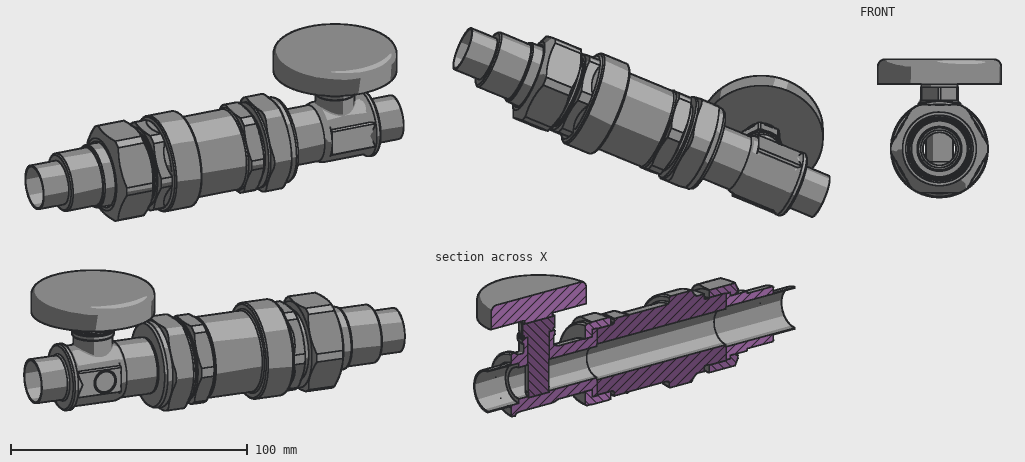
import cadquery as cq
import math


LENGTH = 167.7
PIPE_DIA = 19.0
PIPE_BORE = 17.8
THREAD_DIA = 30.0
NUT_FLATS = 37.2
FLANGE_THICKNESS = 2.5
EDGE_BREAK = 0.7

TAIL_TUBE_START = 11.5
TAIL_RING_START = 26.0
INLET_NUT_START = 31.0
INLET_NUT_END = 47.0
INLET_LIP = 4.2
HOUSING_HEX_START = 49.5
COLLAR_START = 53.7
COLLAR_END = 68.8
REAR_HEX_START = 91.5
REAR_HEX_END = 99.0
OUTLET_NUT_START = 100.6
OUTLET_NUT_END = 114.7
OUTLET_LIP = 4.0
VALVE_TUBE_START = 115.5
VALVE_BODY_START = 130.6
FLARE_START = 150.5
VALVE_RIM_START = 153.0
VALVE_RIM_END = 155.1
OUTLET_STEP_END = 156.0

INLET_FLANGE_START = INLET_NUT_START + INLET_LIP
INLET_JOINT = INLET_FLANGE_START + FLANGE_THICKNESS
OUTLET_FLANGE_END = OUTLET_NUT_END - OUTLET_LIP
OUTLET_JOINT = OUTLET_FLANGE_END - FLANGE_THICKNESS

TAIL_TUBE_DIA = 25.0
TAIL_RING_DIA = 27.0

INLET_NUT_CORNERS = 41.1
INLET_NOSE_DIA = 31.2
INLET_NOSE_LENGTH = 2.5
INLET_MOUTH_DIA = 28.5
INLET_MOUTH_DEPTH = 1.7
NUT_FACE_DIA = 36.9
INLET_CORNER_CHAMFER = 1.3

BARREL_DIA = 34.7
HOUSING_FLATS = 34.9
HOUSING_CORNERS = 38.0
HEX_CHAMFER = 0.8
THREAD_FLARE = 0.5
COLLAR_DIA = 41.3
COLLAR_CONE_DIA = 40.2
COLLAR_CONE_LENGTH = 2.3
COLLAR_KINK_DIA = 37.9
COLLAR_KINK = 1.7
COLLAR_ROUND = 0.7
HOUSING_BORE = 16.0

OUTLET_CORNER_RADIUS = 6.7
OUTLET_FRONT_RING = 1.0
OUTLET_BACK_RING = 3.5
OUTLET_BACK_TAPER = 1.2
OUTLET_CORNER_CHAMFER = 1.2

VALVE_TUBE_DIA = 24.1
VALVE_SPIGOT_DIA = 23.5
VALVE_BODY_DIA = 26.0
VALVE_NOSE_DIA = 25.2
VALVE_NOSE_TAPER = 1.5
VALVE_NOSE_FLARE = 1.0
VALVE_RIM_DIA = 28.5
VALVE_STEP_DIA = 20.1
VALVE_BORE = 14.0
PIPE_SOCKET_DEPTH = 16.8
PAD_START = 132.7
PAD_HALF_WIDTH = 5.4
PAD_KNEE_HALF_WIDTH = 5.9
PAD_KNEE = 11.7
PAD_ROOT_HALF_WIDTH = 7.0
PAD_ROOT = 10.9
PAD_RING_OUTER = 10.0
PAD_RING_INNER = 9.0
PAD_RING_DEPTH = 0.2

GAUGE_Y = 140.0
NECK_DIA = 16.8
NECK_FILLET = 0.7
NECK_FLARE_Z = 17.0
NECK_TOP = 19.6
NECK_RIM_DIA = 18.0
NECK_RIM_CHAMFER = 0.5
POCKET_HEX_FLATS = 16.0
POCKET_HEX_CORNERS = 17.8
POCKET_HEX_TOP = 26.0
POCKET_SEAT_DIA = 16.1
POCKET_HEX_START = 20.5
PROBE_DIA = 11.5
PROBE_TIP_DIA = 11.2
PROBE_STEP_Z = -5.4
PROBE_BOTTOM = -7.5
GAUGE_COLLAR_DIA = 15.5
GAUGE_DIA = 52.3
GAUGE_BOTTOM = 27.3
GAUGE_TOP = 37.9
GAUGE_ROUND = 3.2


def turned(stations):
    """Solid of revolution about Y from (diameter, y) stations."""
    outline = [(0, stations[0][1])]
    outline += [(diameter / 2, y) for diameter, y in stations]
    outline.append((0, stations[-1][1]))
    return cq.Workplane("XY").polyline(outline).close().revolve(360, (0, 0), (0, 1))


def rod(diameter, start, end):
    """Cylinder on the Y axis between two stations."""
    return turned([(diameter, start), (diameter, end)])


def post(diameter, bottom, top):
    """Upright cylinder on the thermometer axis between two heights."""
    plane = cq.Workplane("XY", origin=(0, GAUGE_Y, bottom))
    return plane.circle(diameter / 2).extrude(top - bottom)


def across_corners(flats):
    """Width of a sharp hexagon over its corners."""
    return flats / math.cos(math.pi / 6)


def hex_bar(flats, start, end):
    """Hexagonal bar along Y with two flats facing up and down."""
    plane = cq.Workplane("XZ", origin=(0, start, 0))
    return plane.polygon(6, across_corners(flats)).extrude(start - end)


def make_tail():
    """Pipe stub and stepped tube with the flange held in the inlet nut."""
    outer = turned([
        (PIPE_DIA, 0),
        (PIPE_DIA, TAIL_TUBE_START),
        (TAIL_TUBE_DIA - 2 * EDGE_BREAK, TAIL_TUBE_START),
        (TAIL_TUBE_DIA, TAIL_TUBE_START + EDGE_BREAK),
        (TAIL_TUBE_DIA, TAIL_RING_START),
        (TAIL_RING_DIA - EDGE_BREAK, TAIL_RING_START),
        (TAIL_RING_DIA, TAIL_RING_START + EDGE_BREAK),
        (TAIL_RING_DIA, INLET_FLANGE_START),
        (THREAD_DIA, INLET_FLANGE_START),
        (THREAD_DIA, INLET_JOINT),
    ])
    return outer.cut(rod(PIPE_BORE, 0, INLET_JOINT))


def make_inlet_nut():
    """Union nut with turned corners and a conical nose."""
    envelope = turned([
        (INLET_NOSE_DIA, INLET_NUT_START),
        (INLET_NUT_CORNERS, INLET_NUT_START + INLET_NOSE_LENGTH),
        (INLET_NUT_CORNERS, INLET_NUT_END - INLET_CORNER_CHAMFER),
        (NUT_FACE_DIA, INLET_NUT_END),
    ])
    opening = turned([
        (INLET_MOUTH_DIA, INLET_NUT_START),
        (TAIL_RING_DIA, INLET_NUT_START + INLET_MOUTH_DEPTH),
        (TAIL_RING_DIA, INLET_FLANGE_START),
        (THREAD_DIA, INLET_FLANGE_START),
        (THREAD_DIA, INLET_NUT_END),
    ])
    blank = hex_bar(NUT_FLATS, INLET_NUT_START, INLET_NUT_END)
    return blank.intersect(envelope).cut(opening)


def make_housing():
    """Barrel with two hexagons, a round collar and a male end on each side."""
    chamfered_dia = HOUSING_FLATS - HEX_CHAMFER
    front_hex = hex_bar(HOUSING_FLATS, HOUSING_HEX_START, COLLAR_END).intersect(turned([
        (chamfered_dia, HOUSING_HEX_START),
        (HOUSING_CORNERS, HOUSING_HEX_START + HEX_CHAMFER),
        (HOUSING_CORNERS, COLLAR_END),
    ]))
    rear_hex = hex_bar(HOUSING_FLATS, REAR_HEX_START, REAR_HEX_END).intersect(turned([
        (chamfered_dia, REAR_HEX_START),
        (HOUSING_CORNERS, REAR_HEX_START + HEX_CHAMFER),
        (HOUSING_CORNERS, REAR_HEX_END - HEX_CHAMFER),
        (chamfered_dia, REAR_HEX_END),
    ]))
    cone_end = COLLAR_START + COLLAR_CONE_LENGTH
    collar = turned([
        (HOUSING_FLATS, COLLAR_START),
        (COLLAR_KINK_DIA, COLLAR_START + COLLAR_KINK),
        (COLLAR_CONE_DIA, cone_end),
        (COLLAR_DIA, cone_end + COLLAR_ROUND),
        (COLLAR_DIA, COLLAR_END - COLLAR_ROUND),
        (COLLAR_DIA - 2 * COLLAR_ROUND, COLLAR_END),
        (BARREL_DIA + 2 * COLLAR_ROUND, COLLAR_END),
        (BARREL_DIA, COLLAR_END + COLLAR_ROUND),
    ])
    barrel = turned([
        (BARREL_DIA, COLLAR_END),
        (BARREL_DIA, REAR_HEX_START - HEX_CHAMFER),
        (BARREL_DIA + HEX_CHAMFER, REAR_HEX_START),
        (THREAD_DIA, REAR_HEX_START),
    ])
    threads = turned([
        (THREAD_DIA, INLET_JOINT),
        (THREAD_DIA, HOUSING_HEX_START - THREAD_FLARE),
        (THREAD_DIA + 2 * THREAD_FLARE, HOUSING_HEX_START),
        (THREAD_DIA + 2 * THREAD_FLARE, REAR_HEX_END),
        (THREAD_DIA, REAR_HEX_END + THREAD_FLARE),
        (THREAD_DIA, OUTLET_JOINT),
    ])
    body = threads.union(front_hex).union(collar).union(barrel).union(rear_hex)
    return body.cut(rod(HOUSING_BORE, INLET_JOINT, OUTLET_JOINT))


def make_outlet_nut():
    """Union nut with rounded corners between two plain rings."""
    hex_start = OUTLET_NUT_START + OUTLET_FRONT_RING
    hex_end = OUTLET_NUT_END - OUTLET_BACK_RING
    corner_dia = across_corners(NUT_FLATS)
    blank = hex_bar(NUT_FLATS, OUTLET_NUT_START, OUTLET_NUT_END)
    blank = blank.edges("|Y").fillet(OUTLET_CORNER_RADIUS)
    envelope = turned([
        (NUT_FACE_DIA, OUTLET_NUT_START),
        (NUT_FACE_DIA, hex_start),
        (corner_dia, hex_start + OUTLET_CORNER_CHAMFER),
        (corner_dia, hex_end - OUTLET_CORNER_CHAMFER),
        (NUT_FACE_DIA, hex_end),
        (NUT_FACE_DIA, OUTLET_NUT_END - OUTLET_BACK_TAPER),
        (NUT_FACE_DIA - 2 * EDGE_BREAK, OUTLET_NUT_END),
    ])
    opening = turned([
        (THREAD_DIA, OUTLET_NUT_START),
        (THREAD_DIA, OUTLET_FLANGE_END),
        (VALVE_SPIGOT_DIA, OUTLET_FLANGE_END),
        (VALVE_SPIGOT_DIA, OUTLET_NUT_END),
    ])
    return blank.intersect(envelope).cut(opening)


def valve_shell():
    """Turned outside of the valve with its flared rear rim."""
    body_radius = VALVE_BODY_DIA / 2
    rim_radius = VALVE_RIM_DIA / 2
    return (
        cq.Workplane("XY")
        .moveTo(0, OUTLET_JOINT)
        .lineTo(THREAD_DIA / 2, OUTLET_JOINT)
        .lineTo(THREAD_DIA / 2, OUTLET_FLANGE_END)
        .lineTo(VALVE_SPIGOT_DIA / 2, OUTLET_FLANGE_END)
        .lineTo(VALVE_SPIGOT_DIA / 2, OUTLET_NUT_END)
        .lineTo(VALVE_TUBE_DIA / 2, VALVE_TUBE_START)
        .lineTo(VALVE_TUBE_DIA / 2, VALVE_BODY_START - VALVE_NOSE_FLARE)
        .lineTo(VALVE_NOSE_DIA / 2, VALVE_BODY_START)
        .lineTo(body_radius, VALVE_BODY_START + VALVE_NOSE_TAPER)
        .lineTo(body_radius, FLARE_START)
        .tangentArcPoint((rim_radius, VALVE_RIM_START), relative=False)
        .lineTo(rim_radius, VALVE_RIM_END - EDGE_BREAK)
        .lineTo(rim_radius - EDGE_BREAK, VALVE_RIM_END)
        .lineTo(VALVE_STEP_DIA / 2, VALVE_RIM_END)
        .lineTo(PIPE_DIA / 2, OUTLET_STEP_END)
        .lineTo(PIPE_DIA / 2, LENGTH)
        .lineTo(0, LENGTH)
        .close()
        .revolve(360, (0, 0), (0, 1))
    )


def neck_rim():
    """Raised rim at the top of the upright neck."""
    rise = (NECK_RIM_DIA - NECK_DIA) / 2
    outline = [
        (0, NECK_FLARE_Z),
        (NECK_DIA / 2, NECK_FLARE_Z),
        (NECK_RIM_DIA / 2, NECK_FLARE_Z + rise),
        (NECK_RIM_DIA / 2, NECK_TOP - NECK_RIM_CHAMFER),
        (NECK_RIM_DIA / 2 - NECK_RIM_CHAMFER, NECK_TOP),
        (0, NECK_TOP),
    ]
    plane = cq.Workplane("XZ", origin=(0, GAUGE_Y, 0))
    return plane.polyline(outline).close().revolve(360, (0, 0), (0, 1))


def side_pad(side):
    """Flat pad with sloping sides; side is -1 or 1 along X."""
    face = side * VALVE_BODY_DIA / 2
    knee = side * PAD_KNEE
    root = side * PAD_ROOT
    outline = [
        (0, -PAD_ROOT_HALF_WIDTH),
        (root, -PAD_ROOT_HALF_WIDTH),
        (knee, -PAD_KNEE_HALF_WIDTH),
        (face, -PAD_HALF_WIDTH),
        (face, PAD_HALF_WIDTH),
        (knee, PAD_KNEE_HALF_WIDTH),
        (root, PAD_ROOT_HALF_WIDTH),
        (0, PAD_ROOT_HALF_WIDTH),
    ]
    plane = cq.Workplane("XZ", origin=(0, PAD_START, 0))
    return plane.polyline(outline).close().extrude(PAD_START - VALVE_RIM_START)


def pad_groove():
    """Ring groove in the -X pad, level with the thermometer."""
    plane = cq.Workplane("YZ", origin=(-VALVE_BODY_DIA / 2, GAUGE_Y, 0))
    return plane.circle(PAD_RING_OUTER / 2).circle(PAD_RING_INNER / 2).extrude(PAD_RING_DEPTH)


def make_valve(pocket):
    """Valve body with its neck, side pads, flow bore and pocket hole."""
    body = valve_shell().union(post(NECK_DIA, 0, NECK_TOP))
    neck_root = cq.selectors.BoxSelector(
        (-NECK_DIA, GAUGE_Y - NECK_DIA, 0),
        (NECK_DIA, GAUGE_Y + NECK_DIA, NECK_FLARE_Z),
    )
    body = body.edges(neck_root).edges("%BSPLINE").fillet(NECK_FILLET)
    body = body.union(neck_rim())
    for side in (-1, 1):
        body = body.union(side_pad(side))
    body = body.cut(pad_groove())
    body = body.cut(rod(VALVE_BORE, OUTLET_JOINT, LENGTH))
    body = body.cut(rod(PIPE_BORE, LENGTH - PIPE_SOCKET_DEPTH, LENGTH))
    return body.cut(pocket)


def make_pocket():
    """Hexagon plug with the probe that reaches down into the valve bore."""
    tip = post(PROBE_TIP_DIA, PROBE_BOTTOM, PROBE_STEP_Z)
    probe = post(PROBE_DIA, PROBE_STEP_Z, NECK_TOP)
    foot = post(POCKET_SEAT_DIA, NECK_TOP, POCKET_HEX_START)
    hexagon = cq.Workplane("XY", origin=(0, GAUGE_Y, POCKET_HEX_START))
    hexagon = hexagon.transformed(rotate=(0, 0, 90)).polygon(6, across_corners(POCKET_HEX_FLATS))
    hexagon = hexagon.extrude(POCKET_HEX_TOP - POCKET_HEX_START)
    hexagon = hexagon.intersect(post(POCKET_HEX_CORNERS, POCKET_HEX_START, POCKET_HEX_TOP))
    return tip.union(probe).union(foot).union(hexagon)


def make_gauge():
    """Round thermometer head on a short collar."""
    head = post(GAUGE_DIA, GAUGE_BOTTOM, GAUGE_TOP).faces(">Z").edges().fillet(GAUGE_ROUND)
    return head.union(post(GAUGE_COLLAR_DIA, POCKET_HEX_TOP, GAUGE_BOTTOM))


tail = make_tail()
inlet_nut = make_inlet_nut()
housing = make_housing()
outlet_nut = make_outlet_nut()
pocket = make_pocket()
valve = make_valve(pocket)
gauge = make_gauge()

bodies = [tail, inlet_nut, housing, outlet_nut, valve, pocket, gauge]
result = cq.Compound.makeCompound([body.solids().val() for body in bodies])